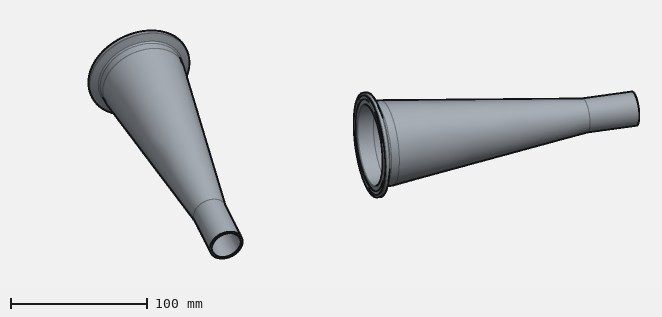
import cadquery as cq
import math

total_length = 203.2
rim_width = 2.8
ferrule_length = 12.4
outlet_start = 165.0

flange_radius = 77.5 / 2
inlet_outer_radius = 63.5 / 2
inlet_bore_radius = 60.1 / 2
outlet_outer_radius = 25.5 / 2
outlet_bore_radius = 22.1 / 2

clamp_angle = 20.0
slope_end = rim_width + (flange_radius - inlet_outer_radius) * math.tan(math.radians(clamp_angle))
neck_fillet = 1.5
flange_edge_fillet = 0.5

groove_radius = 35.4
groove_width = 2.8
groove_depth = 1.2
groove_edge_fillet = 0.5


def make_body():
    """Revolved wall of the flange, ferrule neck, cone and outlet tube."""
    return (
        cq.Workplane("XY")
        .moveTo(0, inlet_bore_radius)
        .lineTo(0, flange_radius)
        .lineTo(rim_width, flange_radius)
        .lineTo(slope_end, inlet_outer_radius)
        .lineTo(ferrule_length, inlet_outer_radius)
        .lineTo(outlet_start, outlet_outer_radius)
        .lineTo(total_length, outlet_outer_radius)
        .lineTo(total_length, outlet_bore_radius)
        .lineTo(outlet_start, outlet_bore_radius)
        .lineTo(ferrule_length, inlet_bore_radius)
        .close()
        .revolve(360, (0, 0, 0), (1, 0, 0))
    )


def make_groove():
    """Ring that cuts the gasket groove into the face of the flange."""
    half_width = groove_width / 2
    return (
        cq.Workplane("XY")
        .moveTo(0, groove_radius - half_width)
        .threePointArc((groove_depth, groove_radius), (0, groove_radius + half_width))
        .close()
        .revolve(360, (0, 0, 0), (1, 0, 0))
    )


def edge_circle(x, radius):
    """Selector for the circular edge about the x axis at a given station and radius."""
    tolerance = 0.02

    def box(reach):
        return cq.selectors.BoxSelector(
            (x - tolerance, -reach, -reach),
            (x + tolerance, reach, reach),
            boundingbox=True,
        )

    return box(radius + tolerance) - box(radius - tolerance)


body = make_body().cut(make_groove())
body = body.edges(edge_circle(slope_end, inlet_outer_radius)).fillet(neck_fillet)
for station, radius in ((0, inlet_bore_radius), (0, flange_radius), (rim_width, flange_radius)):
    body = body.edges(edge_circle(station, radius)).fillet(flange_edge_fillet)
for radius in (groove_radius - groove_width / 2, groove_radius + groove_width / 2):
    body = body.edges(edge_circle(0, radius)).fillet(groove_edge_fillet)

result = body